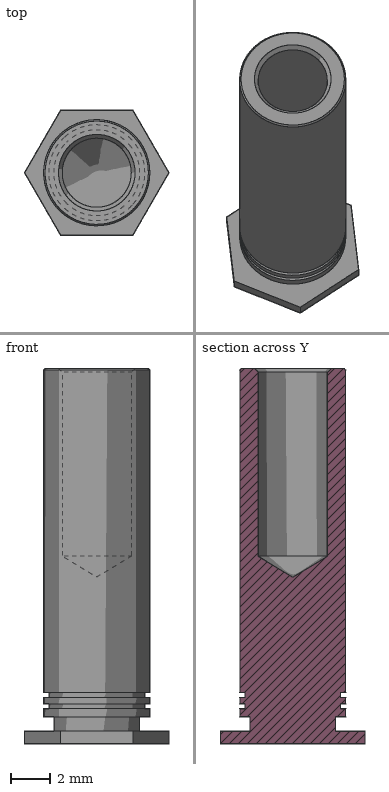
import cadquery as cq
import math

total_height = 19.05
body_diameter = 5.4
rim_chamfer = 0.08

hex_across_corners = 7.33
head_height = 0.65

neck_diameter = 4.36
neck_top = 1.37

groove_diameter = 4.88
groove_width = 0.25
groove_bottoms = (1.8, 2.36)

bore_diameter = 3.5
bore_depth = total_height / 2
drill_point_angle = 118.0
mouth_chamfer = 0.2


def make_head():
    return cq.Workplane("XY").polygon(6, hex_across_corners).extrude(head_height)


def make_neck():
    return cq.Workplane("XY").circle(neck_diameter / 2).extrude(neck_top)


def make_body():
    body = (
        cq.Workplane("XY")
        .workplane(offset=neck_top)
        .circle(body_diameter / 2)
        .extrude(total_height - neck_top)
    )
    return body.faces(">Z").edges().chamfer(rim_chamfer)


def make_groove(bottom):
    return (
        cq.Workplane("XY")
        .workplane(offset=bottom)
        .circle(body_diameter / 2)
        .circle(groove_diameter / 2)
        .extrude(groove_width)
    )


def make_bore():
    """Revolved cutter: chamfered mouth, straight wall and conical drill point."""
    radius = bore_diameter / 2
    floor = total_height - bore_depth
    point_depth = radius / math.tan(math.radians(drill_point_angle / 2))
    return (
        cq.Workplane("XZ")
        .moveTo(0, floor - point_depth)
        .lineTo(radius, floor)
        .lineTo(radius, total_height - mouth_chamfer)
        .lineTo(radius + mouth_chamfer, total_height)
        .lineTo(0, total_height)
        .close()
        .revolve(360, (0, 0, 0), (0, 1, 0))
    )


result = make_head().union(make_neck()).union(make_body())
for groove_bottom in groove_bottoms:
    result = result.cut(make_groove(groove_bottom))
result = result.cut(make_bore())